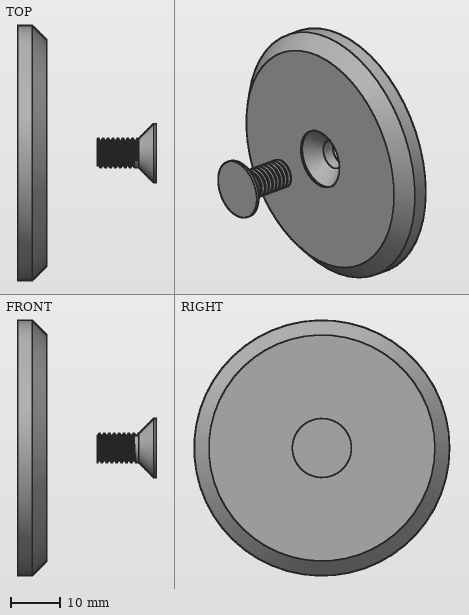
import cadquery as cq
import math

disc_diameter = 52.0
disc_thickness = 6.0
disc_chamfer = 3.0

head_diameter = 12.0
shank_diameter = 6.0
head_rim = 0.55
hole_rim = 0.4
head_cone = (head_diameter - shank_diameter) / 2
overall_length = 28.25
screw_length = 12.0
shank_length = screw_length - head_rim - head_cone
screw_start = overall_length - screw_length

core_diameter = 5.0
pitch = 1.0
flank_half_angle = 30.0
crest_width = pitch / 6
groove_turns = 8.5
groove_end_angle = 121.0
overcut = 0.05


def revolve_about_x(profile):
    """Turn a closed (x, radius) outline into a solid around the X axis."""
    return cq.Workplane("XY").polyline(profile).close().revolve(360, (0, 0, 0), (1, 0, 0))


def countersunk_shape(start, shank, rim):
    """Cylinder, 45 degree cone and rim, opening towards +X."""
    cone_start = start + shank
    rim_start = cone_start + head_cone
    end = rim_start + rim
    return revolve_about_x([
        (start, 0),
        (start, shank_diameter / 2),
        (cone_start, shank_diameter / 2),
        (rim_start, head_diameter / 2),
        (end, head_diameter / 2),
        (end, 0),
    ])


def make_disc():
    """Disc with a chamfered +X edge and a countersunk through hole."""
    blank = (
        cq.Workplane("YZ")
        .circle(disc_diameter / 2)
        .extrude(disc_thickness)
        .faces(">X")
        .chamfer(disc_chamfer)
    )
    hole = countersunk_shape(0, disc_thickness - head_cone - hole_rim, hole_rim)
    return blank.cut(hole)


def make_thread_cutter():
    """Right-hand helical groove, built along Z and then laid along X."""
    core_radius = core_diameter / 2
    outer_radius = shank_diameter / 2 + overcut
    slope = math.tan(math.radians(flank_half_angle))
    half_opening = (pitch - crest_width) / 2
    half_root = half_opening - (shank_diameter - core_diameter) / 2 * slope
    half_outer = half_opening + overcut * slope
    groove_height = groove_turns * pitch

    path = cq.Wire.makeHelix(pitch, groove_height, core_radius)
    cutter = (
        cq.Workplane("XZ")
        .polyline([
            (core_radius, -half_root),
            (outer_radius, -half_outer),
            (outer_radius, half_outer),
            (core_radius, half_root),
        ])
        .close()
        .sweep(cq.Workplane(obj=path), isFrenet=True)
    )

    cutter = cutter.rotate((0, 0, 0), (1, 1, 1), 120)
    start_angle = groove_end_angle - 360 * groove_turns
    cutter = cutter.rotate((0, 0, 0), (1, 0, 0), start_angle)
    groove_end = screw_start + shank_length - half_opening
    return cutter.translate((groove_end - groove_height, 0, 0))


def make_screw():
    """Countersunk screw whose thread groove runs out just under the head."""
    return countersunk_shape(screw_start, shank_length, head_rim).cut(make_thread_cutter())


disc = make_disc()
screw = make_screw()

result = cq.Compound.makeCompound([disc.val(), screw.val()])